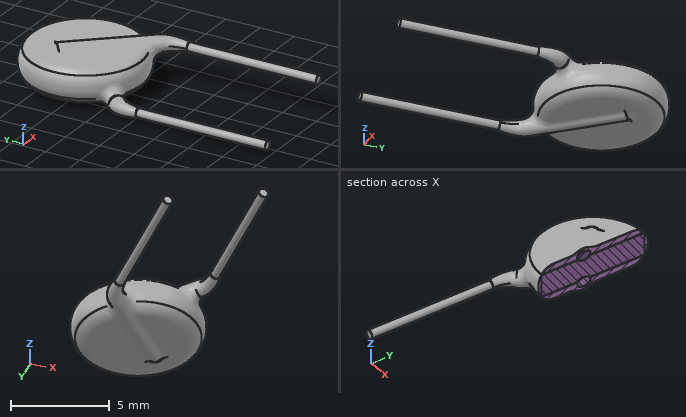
import cadquery as cq
import math

coating_diameter = 6.89
coating_thickness = 2.15
rim_band_height = 0.14

disc_diameter = 6.4
disc_thickness = 1.31

lead_diameter = 0.51
lead_pitch = 5.1
lead_height = 0.8
lead_tip_y = -12.15
corner_y = -3.55
slope_angle = 49.4
bend_radius = 1.45

ridge_radius = 0.47
ridge_length = 5.9
ridge_fillet = 0.56
flare_radius = 0.56
end_cover = 0.2
ridge_overrun = 1.25
match_tolerance = 0.002
taper_end_radius = 0.28
taper_end_y = -4.58

half_coating = coating_thickness / 2
slope = math.radians(slope_angle)
turn = math.pi / 2 - slope
lead_x = lead_pitch / 2
bend_setback = bend_radius * math.tan(turn / 2)
bend_end_y = corner_y - bend_setback


def on_slope(distance):
    """Point on the sloping run, at a distance back from the corner of the centre line."""
    return cq.Vector(
        lead_x - distance * math.cos(slope),
        corner_y + distance * math.sin(slope),
        lead_height,
    )


def on_bend(angle):
    """Point on the bend, at an angle back from its end."""
    return cq.Vector(
        lead_x - bend_radius * (1 - math.cos(angle)),
        bend_end_y + bend_radius * math.sin(angle),
        lead_height,
    )


def heading(angle):
    """Direction of the centre line, at an angle back from its straight run."""
    return cq.Vector(math.sin(angle), -math.cos(angle), 0)


def turn_over(shape):
    """Half turn about the Y axis, which takes the upper lead to the lower one."""
    return shape.rotate((0, 0, 0), (0, 1, 0), 180)


def make_lead():
    start = on_slope(ridge_length - end_cover)
    path = (
        cq.Workplane("XY", origin=(0, 0, lead_height))
        .moveTo(start.x, start.y)
        .lineTo(on_bend(turn).x, on_bend(turn).y)
        .threePointArc(on_bend(turn / 2).toTuple()[:2], on_bend(0).toTuple()[:2])
        .lineTo(lead_x, lead_tip_y)
    )
    start_plane = cq.Plane(origin=start, normal=heading(turn))
    return cq.Workplane(start_plane).circle(lead_diameter / 2).sweep(path)


def make_disc(leads):
    disc = cq.Workplane("XY").circle(disc_diameter / 2).extrude(disc_thickness / 2, both=True)
    for lead in leads:
        disc = disc.cut(lead)
    return disc


def make_ridge():
    """Round ridge of coating along the sloping run, carried past the start of the bend."""
    length = ridge_length - bend_setback + ridge_overrun
    ridge_plane = cq.Plane(origin=on_slope(ridge_length), normal=heading(turn))
    return cq.Workplane(ridge_plane).circle(ridge_radius).extrude(length)


def make_overrun_trim():
    """Block that squares off a ridge and its fillet at the start of the bend."""
    trim_plane = cq.Plane(origin=on_bend(turn), normal=heading(turn))
    return cq.Workplane(trim_plane).circle(ridge_radius + 2 * ridge_fillet).extrude(2 * ridge_overrun)


def make_taper():
    """Coating that narrows evenly around the bend and ends on the straight run."""
    arc_length = bend_radius * turn
    taper_length = arc_length + bend_end_y - taper_end_y

    def ring(travel, centre, direction):
        radius = ridge_radius + (taper_end_radius - ridge_radius) * travel / taper_length
        return cq.Wire.makeCircle(radius, centre, direction)

    rings = [
        ring(0, on_bend(turn), heading(turn)),
        ring(arc_length / 2, on_bend(turn / 2), heading(turn / 2)),
        ring(arc_length, on_bend(0), heading(0)),
        ring(taper_length, cq.Vector(lead_x, taper_end_y, lead_height), heading(0)),
    ]
    return cq.Workplane(cq.Solid.makeLoft(rings))


def make_flare():
    """Concave flare that blends the square end of a ridge into the flat face."""
    rise = lead_height + ridge_radius - half_coating
    arc_radius = (flare_radius**2 + rise**2) / (2 * rise)
    half_arc = math.asin(flare_radius / arc_radius) / 2
    arc_middle = (
        flare_radius - arc_radius * math.sin(half_arc),
        half_coating + arc_radius * (1 - math.cos(half_arc)),
    )
    end = on_slope(ridge_length)
    return (
        cq.Workplane("XZ")
        .lineTo(flare_radius, 0)
        .lineTo(flare_radius, half_coating)
        .threePointArc(arc_middle, (0, half_coating + rise))
        .close()
        .revolve(360, (0, 0), (0, 1))
        .translate((end.x, end.y, 0))
    )


def runs_along_ridge(edge):
    """True for the edges where a ridge meets the coated disc, except across its square end."""
    on_face = abs(abs(edge.Center().z) - half_coating) < match_tolerance
    beside_ridge = edge.geomType() == "LINE" and on_face and edge.Length() > 2 * ridge_radius
    return beside_ridge or edge.geomType() == "BSPLINE"


def make_coating(leads, disc):
    coating = (
        cq.Workplane("XY")
        .circle(coating_diameter / 2)
        .extrude(half_coating, both=True)
        .edges()
        .fillet((coating_thickness - rim_band_height) / 2)
    )
    ridge = make_ridge()
    coating = coating.union(ridge).union(turn_over(ridge))
    ridge_edges = [edge for edge in coating.edges().vals() if runs_along_ridge(edge)]
    coating = coating.newObject(ridge_edges).fillet(ridge_fillet)
    trim = make_overrun_trim()
    coating = coating.cut(trim).cut(turn_over(trim))
    for cover in (make_taper(), make_flare()):
        coating = coating.union(cover).union(turn_over(cover))
    for inner_body in (disc, *leads):
        coating = coating.cut(inner_body)
    return coating


upper_lead = make_lead()
leads = [upper_lead, turn_over(upper_lead)]
disc = make_disc(leads)
coating = make_coating(leads, disc)

lead_solids = [lead.val() for lead in leads]
result = cq.Compound.makeCompound([*coating.solids().vals(), *disc.solids().vals(), *lead_solids])